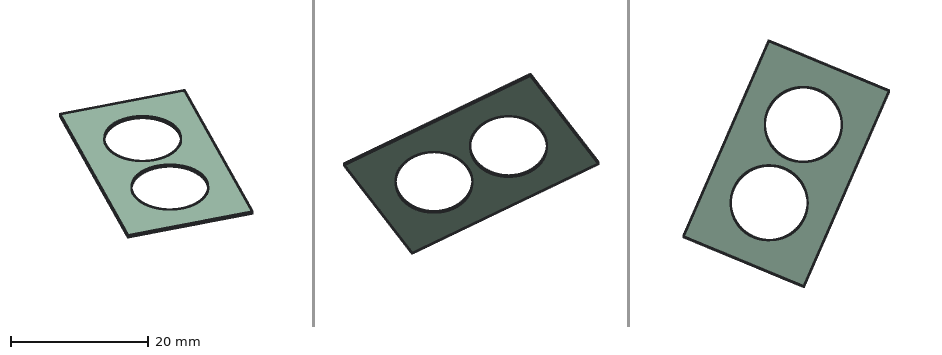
import cadquery as cq

length = 31.75
width = 19.05
thickness = 0.38

hole_diameter = 11.18
hole_spacing = 12.7

hole_centers = [(-hole_spacing / 2, 0), (hole_spacing / 2, 0)]

plate = cq.Workplane("XY").box(length, width, thickness)

result = (
    plate.faces(">Z")
    .workplane()
    .pushPoints(hole_centers)
    .hole(hole_diameter)
)